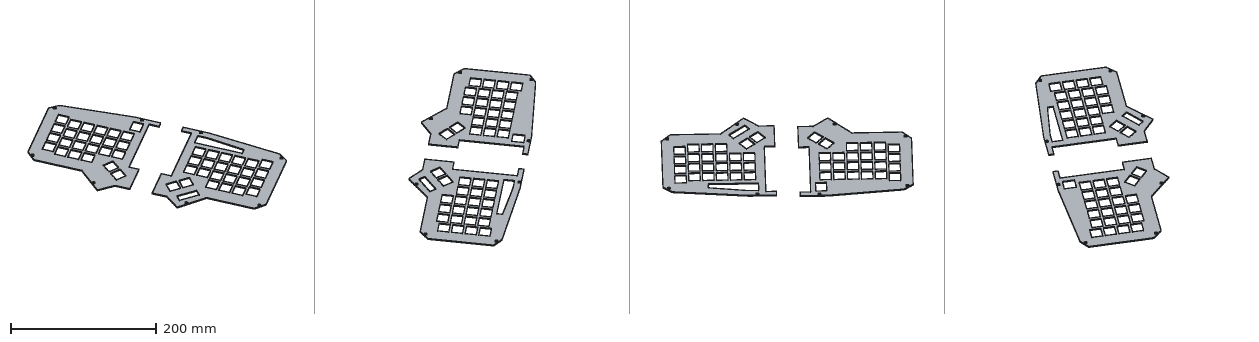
import cadquery as cq

total_width = 345.0
total_depth = 155.0
total_height = 3.8
plate_thickness = 2.0
mirror_drop = 0.55

outer_x = -total_width / 2
top_y = total_depth / 2
tip_y = -total_depth / 2 + mirror_drop
left_bottom_z = -total_height / 2
right_bottom_z = total_height / 2 - plate_thickness

arm_end_x = -16.2
inner_x = -30.7
arm_width = 7.2
lower_arm_top_y = -20.0
lower_arm_bottom_y = -60.7
slope_start_x = -54.0
corner_x = outer_x + 12.8
back_corner_y = 67.5
back_corner_side_y = 58.0
front_y = -46.3
front_corner_side_y = front_y + 12.8
front_bend_x = -90.5
tip_x = -58.0
tip_shoulder_x = -37.5

key_size = 15.5
column_count = 6
columns_span = 95.5
key_pitch = columns_span / (column_count - 1)
first_key_x = -147.7
first_key_y = 42.5
column_stagger = 4.0
keys_per_column = [4, 4, 4, 4, 3, 3]

thumb_x = -47.3
thumb_y = -32.5
thumb_angle = 40.0

hole_diameter = 4.0
hole_centers = [
    (-164.3, 60.7),
    (-164.3, -38.3),
    (-67.3, -65.0),
    (-42.8, 75.0),
]

window_width = 15.0
window_depth = 17.0
window_x = -45.5
window_y = 60.0

wedge_left_x = 40.7
wedge_bend_x = 55.0
wedge_right_x = 109.8
wedge_bottom_y = 52.5
wedge_high_y = 67.3
wedge_low_y = 60.5
slot_length = 29.5
slot_width = 9.5
slot_x = 65.0
slot_y = -50.5


def cut_through(plate, sketch):
    """Cut a closed sketch on the XY plane through the whole plate."""
    return plate.cut(sketch.extrude(plate_thickness))


def common_plate():
    """Left-hand plate on Z = 0 with everything that both plates share."""
    outline = [
        (outer_x, back_corner_side_y),
        (corner_x, back_corner_y),
        (slope_start_x, top_y),
        (arm_end_x, top_y),
        (arm_end_x, top_y - arm_width),
        (inner_x, top_y - arm_width),
        (inner_x, lower_arm_top_y),
        (arm_end_x, lower_arm_top_y),
        (arm_end_x, lower_arm_bottom_y),
        (tip_shoulder_x, lower_arm_bottom_y),
        (tip_x, tip_y),
        (front_bend_x, front_y),
        (corner_x, front_y),
        (outer_x, front_corner_side_y),
    ]
    plate = cq.Workplane("XY").polyline(outline).close().extrude(plate_thickness)

    key_centers = []
    for column, key_count in enumerate(keys_per_column):
        column_top_y = first_key_y if column == 0 else first_key_y - column_stagger
        for row in range(key_count):
            key_centers.append((first_key_x + column * key_pitch, column_top_y - row * key_pitch))
    plate = cut_through(plate, cq.Workplane("XY").pushPoints(key_centers).rect(key_size, key_size))

    thumb_keys = (
        cq.Workplane("XY", origin=(thumb_x, thumb_y, 0))
        .transformed(rotate=(0, 0, -thumb_angle))
        .pushPoints([(-key_pitch / 2, 0), (key_pitch / 2, 0)])
        .rect(key_size, key_size)
    )
    plate = cut_through(plate, thumb_keys)

    return cut_through(plate, cq.Workplane("XY").pushPoints(hole_centers).circle(hole_diameter / 2))


def left_plate():
    window = cq.Workplane("XY").center(window_x, window_y).rect(window_width, window_depth)
    return cut_through(common_plate(), window).translate((0, 0, left_bottom_z))


def right_plate():
    plate = common_plate().mirror("YZ").translate((0, -mirror_drop, 0))

    wedge_outline = [
        (wedge_left_x, wedge_bottom_y),
        (wedge_left_x, wedge_high_y),
        (wedge_bend_x, wedge_high_y),
        (wedge_right_x, wedge_low_y),
        (wedge_right_x, wedge_bottom_y),
    ]
    plate = cut_through(plate, cq.Workplane("XY").polyline(wedge_outline).close())

    thumb_slot = (
        cq.Workplane("XY", origin=(slot_x, slot_y, 0))
        .transformed(rotate=(0, 0, thumb_angle))
        .rect(slot_length, slot_width)
    )
    return cut_through(plate, thumb_slot).translate((0, 0, right_bottom_z))


result = cq.Compound.makeCompound([left_plate().val(), right_plate().val()])